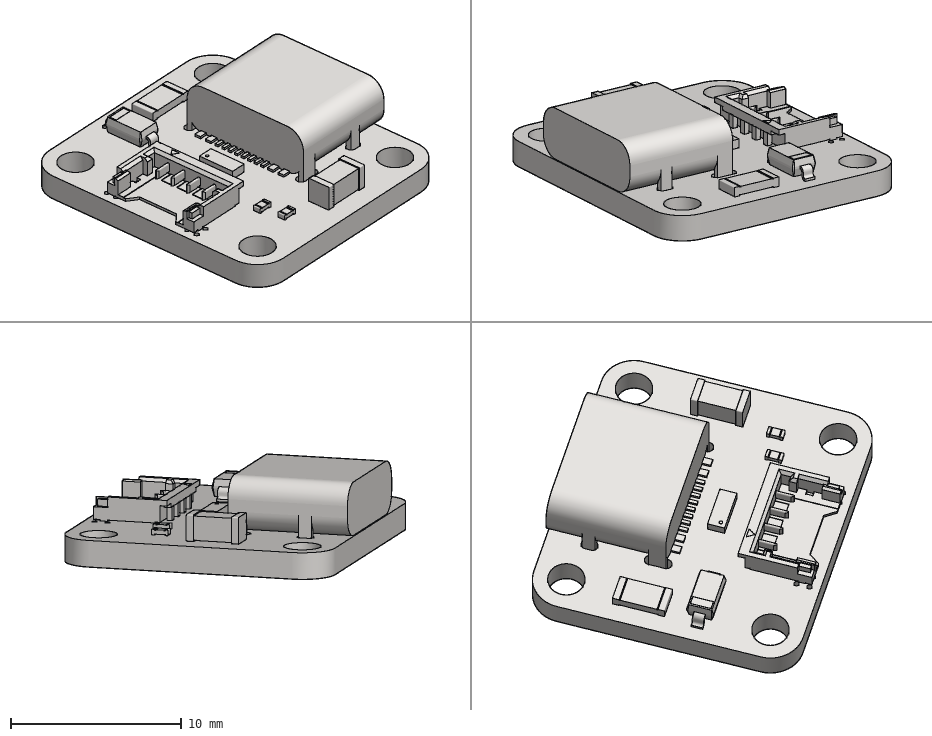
import cadquery as cq
import math


board_width = 18.0
board_depth = 16.5
board_thickness = 1.6
corner_radius = 2.0
mount_hole_diameter = 2.2
via_diameter = 0.3
solder_gap = 0.04
marking_depth = 0.009

usb_width = 8.95
usb_length = 7.35
usb_top = 3.25
usb_clearance = 0.05
usb_corner_radius = 1.25
tab_thickness = 0.36
tab_spans = (
    (5.24, 6.03),
    (board_depth / 2 - usb_length, 1.98),
)
slot_width = 0.65
slot_spans = ((5.13, 6.14), (0.6, 2.25))
slot_x = 4.3
usb_pin_reach = 0.54
usb_pin_height = 0.15
narrow_pin_width = 0.22
wide_pin_width = 0.43
narrow_pin_offsets = (0.25, 0.75, 1.25, 1.75)
wide_pin_offsets = (2.4, 3.2)

socket_half_width = 3.33
socket_back = -3.19
socket_front = -7.7
socket_bottom = 0.1
socket_top = 1.5
floor_top = 0.32
cavity_half_width = 2.85
cavity_back = -4.0
cavity_chamfer = 0.2
rib_inner_x = 2.5
contact_pitch = 1.19
contact_count = 4

chip_1206_length = 3.2
chip_1206_width = 1.6
chip_0402_length = 1.0
chip_0402_width = 0.52

diode_x = -6.2
diode_y = -2.09


def box(x_range, y_range, z_range):
    """Axis-aligned block given by its start and end along each axis."""
    size = [end - start for start, end in (x_range, y_range, z_range)]
    start = (x_range[0], y_range[0], z_range[0])
    return cq.Workplane("XY").box(*size, centered=False).translate(start)


def mirrored_box(x_range, y_range, z_range):
    """A block and its mirror image across X = 0."""
    block = box(x_range, y_range, z_range)
    return block.union(block.mirror("YZ"))


def make_board():
    plate = (
        cq.Workplane("XY")
        .workplane(offset=-board_thickness)
        .rect(board_width, board_depth)
        .extrude(board_thickness)
        .edges("|Z")
        .fillet(corner_radius)
    )
    plate = (
        plate.faces(">Z").workplane(origin=(0, 0, 0))
        .rect(board_width - 2 * corner_radius, board_depth - 2 * corner_radius, forConstruction=True)
        .vertices()
        .hole(mount_hole_diameter)
    )
    via_points = [
        (side * x, y)
        for side in (-1, 1)
        for x, y in ((3.45, -6.8), (3.45, -7.6), (2.74, -7.6))
    ]
    plate = plate.faces(">Z").workplane(origin=(0, 0, 0)).pushPoints(via_points).hole(via_diameter)
    for start, end in slot_spans:
        slots = (
            cq.Workplane("XY")
            .workplane(offset=-board_thickness)
            .pushPoints([(-slot_x, (start + end) / 2), (slot_x, (start + end) / 2)])
            .slot2D(end - start, slot_width, 90)
            .extrude(board_thickness)
        )
        plate = plate.cut(slots)
    return plate


def make_usb_socket():
    half_width = usb_width / 2
    back = board_depth / 2
    front = back - usb_length
    shell = box((-half_width, half_width), (front, back), (usb_clearance, usb_top))
    shell = shell.edges("|Y").fillet(usb_corner_radius)
    for start, end in tab_spans:
        tab_top = usb_top - usb_corner_radius
        shell = shell.union(
            mirrored_box((half_width - tab_thickness, half_width), (start, end), (-board_thickness, tab_top))
        )
    pins = [(offset, narrow_pin_width) for offset in narrow_pin_offsets]
    pins += [(offset, wide_pin_width) for offset in wide_pin_offsets]
    for offset, width in pins:
        shell = shell.union(
            mirrored_box(
                (offset - width / 2, offset + width / 2),
                (front - usb_pin_reach, front + usb_pin_reach),
                (solder_gap, solder_gap + usb_pin_height),
            )
        )
    return shell


def make_wire_connector():
    width = (-socket_half_width, socket_half_width)
    housing = box(width, (socket_front, socket_back), (socket_bottom, socket_top))

    side_wall_back = -3.6
    overhang_bottom = 1.15
    back_wall_half_width = 2.52
    back_wall_bottom = 0.92
    housing = housing.cut(box(width, (side_wall_back, socket_back), (socket_bottom, overhang_bottom)))
    housing = housing.union(
        box((-back_wall_half_width, back_wall_half_width), (side_wall_back, socket_back),
            (back_wall_bottom, overhang_bottom))
    )
    heel_front = -3.9
    heel_bottom = 0.16
    housing = housing.cut(box(width, (heel_front, side_wall_back), (socket_bottom, heel_bottom)))

    cavity_width = (-cavity_half_width, cavity_half_width)
    housing = housing.cut(box(cavity_width, (socket_front, cavity_back), (floor_top, socket_top)))
    rim = (
        cq.Workplane("XY")
        .workplane(offset=socket_top)
        .center(0, (socket_front + cavity_back) / 2)
        .rect(2 * (cavity_half_width + cavity_chamfer), cavity_back - socket_front + 2 * cavity_chamfer)
        .extrude(-cavity_chamfer, taper=45)
    )
    housing = housing.cut(rim)

    post_back = -6.59
    ledge_back = -6.82
    ledge_height = 0.86
    post_slope_bottom = socket_top - cavity_chamfer
    post_top = 1.37
    post_top_inner_x = 2.7
    post_top_outer_x = 2.79
    post = (
        cq.Workplane("XZ", origin=(0, post_back, 0))
        .polyline([
            (rib_inner_x, socket_bottom),
            (rib_inner_x, post_slope_bottom),
            (post_top_inner_x, post_top),
            (cavity_half_width, post_top),
            (cavity_half_width, socket_bottom),
        ])
        .close()
        .extrude(post_back - socket_front)
    )
    housing = housing.union(post).union(post.mirror("YZ"))
    ledge_y = (socket_front, ledge_back)
    housing = housing.cut(
        mirrored_box((post_top_outer_x, socket_half_width), ledge_y, (ledge_height, socket_top))
    )
    boss_outer_x = 3.05
    boss_front = -7.52
    boss_top = 1.28
    housing = housing.union(
        mirrored_box((post_top_outer_x, boss_outer_x), (boss_front, ledge_back), (ledge_height, boss_top))
    )

    rib_back = -4.57
    rib_front = -5.04
    rib = box(
        (rib_inner_x, cavity_half_width + cavity_chamfer), (rib_front, rib_back), (socket_bottom, socket_top)
    )
    rib = rib.edges("(>Z and <X) or (>Z and >Y)").chamfer(cavity_chamfer)
    housing = housing.union(rib).union(rib.mirror("YZ"))

    panel_half_width = 2.09
    panel_back = -4.85
    panel_depth = 0.04
    window_inner_x = 2.55
    window_front = -6.01
    window_back = -5.58
    panel_width = (-panel_half_width, panel_half_width)
    housing = housing.cut(
        box(panel_width, (socket_front, panel_back), (floor_top - panel_depth, floor_top))
    )
    housing = housing.cut(
        mirrored_box(
            (window_inner_x, cavity_half_width), (window_front, window_back), (socket_bottom, floor_top)
        )
    )
    notch_back = -7.02
    notch_back_half_width = 1.42
    notch_front_half_width = 1.93
    notch = (
        cq.Workplane("XY")
        .polyline([
            (-notch_front_half_width, socket_front),
            (-notch_back_half_width, notch_back),
            (notch_back_half_width, notch_back),
            (notch_front_half_width, socket_front),
        ])
        .close()
        .extrude(floor_top)
    )
    housing = housing.cut(notch)

    blade_width = 0.2
    blade_top = 1.03
    blade_bottom = 0.45
    blade_tip = -5.11
    tip_length = 0.18
    tip_width = 0.05
    groove_width = 0.4
    tail_width = 0.4
    tail_back = -3.28
    blade_section = (
        cq.Workplane("XZ", origin=(0, cavity_back, 0))
        .moveTo(-blade_width / 2, blade_bottom)
        .lineTo(-blade_width / 2, blade_top - blade_width / 2)
        .threePointArc((0, blade_top), (blade_width / 2, blade_top - blade_width / 2))
        .lineTo(blade_width / 2, blade_bottom)
        .close()
        .extrude(cavity_back - blade_tip)
    )
    blade_outline = (
        cq.Workplane("XY")
        .polyline([
            (-blade_width / 2, cavity_back),
            (-blade_width / 2, blade_tip + tip_length),
            (-tip_width / 2, blade_tip),
            (tip_width / 2, blade_tip),
            (blade_width / 2, blade_tip + tip_length),
            (blade_width / 2, cavity_back),
        ])
        .close()
        .extrude(blade_top)
    )
    blade = blade_section.intersect(blade_outline)
    groove = box(
        (-groove_width / 2, groove_width / 2), (panel_back, cavity_back), (floor_top - panel_depth, floor_top)
    )
    tail = box(
        (-tail_width / 2, tail_width / 2), (side_wall_back, tail_back), (solder_gap, back_wall_bottom)
    )
    for index in range(contact_count):
        x = (index - (contact_count - 1) / 2) * contact_pitch
        shift = (x, 0, 0)
        housing = housing.cut(groove.translate(shift))
        housing = housing.union(blade.translate(shift)).union(tail.translate(shift))

    foot_inner_x = 2.88
    foot_front = -7.3
    foot_back = -6.84
    housing = housing.union(
        mirrored_box((foot_inner_x, socket_half_width), (foot_front, foot_back), (solder_gap, socket_bottom))
    )

    mark_x = -(contact_count - 1) / 2 * contact_pitch
    mark_half_width = 0.29
    mark_base_y = -3.31
    mark_tip_y = -3.75
    mark = (
        cq.Workplane("XY")
        .workplane(offset=socket_top - marking_depth)
        .polyline([
            (mark_x - mark_half_width, mark_base_y),
            (mark_x + mark_half_width, mark_base_y),
            (mark_x, mark_tip_y),
        ])
        .close()
        .extrude(marking_depth)
    )
    return housing.cut(mark)


def make_flat_chip(center, length, width, height, terminal_length):
    """Flat chip along Y: ceramic core, C-shaped end terminals and a coating on top between them."""
    terminal_thickness = 0.05
    coating_drop = 0.02
    half_width = width / 2
    half_length = length / 2
    top = solder_gap + height
    sides = (-half_width, half_width)
    chip = box(sides, (-half_length, half_length), (solder_gap, top))
    chip = chip.edges("|X").fillet(terminal_thickness)
    terminal_start = half_length - terminal_length
    middle = (-terminal_start, terminal_start)
    chip = chip.cut(box(sides, middle, (top - terminal_thickness, top)))
    chip = chip.cut(box(sides, middle, (solder_gap, solder_gap + terminal_thickness)))
    coating_end = terminal_start - terminal_thickness
    coating_top = top - coating_drop
    chip = chip.union(box(sides, (-coating_end, coating_end), (top - terminal_thickness, coating_top)))
    return chip.translate((center[0], center[1], 0))


def make_capacitor():
    """Tall block whose end caps stand slightly proud of the core."""
    center_x = 6.97
    center_y = 0.95
    cap_length = 0.43
    core_inset = 0.07
    half_length = chip_1206_length / 2
    half_width = chip_1206_width / 2
    top = solder_gap + chip_1206_width
    core = box(
        (core_inset - half_width, half_width - core_inset),
        (cap_length - half_length, half_length - cap_length),
        (solder_gap + core_inset, top - core_inset),
    )
    end_cap = box((-half_width, half_width), (half_length - cap_length, half_length), (solder_gap, top))
    end_cap = end_cap.edges("|Y").fillet(core_inset)
    body = core.union(end_cap).union(end_cap.mirror("XZ"))
    return body.translate((center_x, center_y, 0))


def make_driver_chip():
    x_range = (-1.28, 1.28)
    y_range = (-1.75, -0.7)
    height = 0.55
    top = solder_gap + height
    dot_diameter = 0.2
    dot_inset = 0.32
    body = box(x_range, y_range, (solder_gap, top))
    dot = (
        cq.Workplane("XY")
        .workplane(offset=top - marking_depth)
        .center(x_range[0] + dot_inset, y_range[0] + dot_inset)
        .circle(dot_diameter / 2)
        .extrude(marking_depth)
    )
    return body.cut(dot)


def make_diode():
    body_bottom = 0.2
    body_top = 1.26
    lip_bottom = 0.68
    lip_top = 0.83
    lip_length = 2.77
    lip_width = 1.64
    corner_chamfer = 0.09
    draft_angle = 14
    lip = (
        cq.Workplane("XY").workplane(offset=lip_bottom)
        .rect(lip_length, lip_width)
        .extrude(lip_top - lip_bottom)
        .edges("|Z")
        .chamfer(corner_chamfer)
    )
    upper = lip.faces(">Z").wires().toPending().extrude(body_top - lip_top, taper=draft_angle, combine=False)
    lower = (
        lip.faces("<Z").wires().toPending()
        .workplane()
        .extrude(lip_bottom - body_bottom, taper=draft_angle, combine=False)
    )
    body = lip.union(upper).union(lower)

    band_start = -1.17
    band_end = -0.67
    band_half_width = 0.63
    band = box(
        (band_start, band_end), (-band_half_width, band_half_width), (body_top - marking_depth, body_top)
    )
    body = body.cut(band)

    lead_width = 0.7
    lead_thickness = 0.153
    outer_radius = 0.32
    inner_radius = outer_radius - lead_thickness
    toe_x = 1.95
    shank_x = 1.75
    lead_root_x = 1.08
    foot_bottom = solder_gap
    foot_top = foot_bottom + lead_thickness
    arm_top = 0.83
    arm_bottom = arm_top - lead_thickness
    diagonal = math.sqrt(0.5)
    upper_center = (shank_x - outer_radius, arm_top - outer_radius)
    lower_center = (shank_x + inner_radius, foot_top + inner_radius)

    def on_arc(center, radius, direction):
        return (center[0] + direction * radius * diagonal, center[1] + direction * radius * diagonal)

    lead = (
        cq.Workplane("XZ")
        .moveTo(lead_root_x, arm_top)
        .lineTo(upper_center[0], arm_top)
        .threePointArc(on_arc(upper_center, outer_radius, 1), (shank_x, upper_center[1]))
        .lineTo(shank_x, lower_center[1])
        .threePointArc(on_arc(lower_center, inner_radius, -1), (lower_center[0], foot_top))
        .lineTo(toe_x, foot_top)
        .lineTo(toe_x, foot_bottom)
        .lineTo(lower_center[0], foot_bottom)
        .threePointArc(on_arc(lower_center, outer_radius, -1), (shank_x - lead_thickness, lower_center[1]))
        .lineTo(shank_x - lead_thickness, upper_center[1])
        .threePointArc(on_arc(upper_center, inner_radius, 1), (upper_center[0], arm_bottom))
        .lineTo(lead_root_x, arm_bottom)
        .close()
        .extrude(lead_width / 2, both=True)
    )
    body = body.union(lead).union(lead.mirror("YZ"))
    return body.translate((diode_x, diode_y, 0))


board = make_board()
usb_socket = make_usb_socket()
wire_connector = make_wire_connector()
fuse = make_flat_chip(
    center=(-7.11, 1.57),
    length=chip_1206_length,
    width=chip_1206_width,
    height=0.6,
    terminal_length=0.41,
)
capacitor = make_capacitor()
driver_chip = make_driver_chip()
diode = make_diode()

resistor_centers = ((4.65, -3.05), (6.21, -2.66))
resistors = [
    make_flat_chip(
        center=center,
        length=chip_0402_length,
        width=chip_0402_width,
        height=0.35,
        terminal_length=0.18,
    )
    for center in resistor_centers
]

result = cq.Compound.makeCompound([
    board.val(),
    usb_socket.val(),
    wire_connector.val(),
    fuse.val(),
    capacitor.val(),
    driver_chip.val(),
    diode.val(),
    *[resistor.val() for resistor in resistors],
])